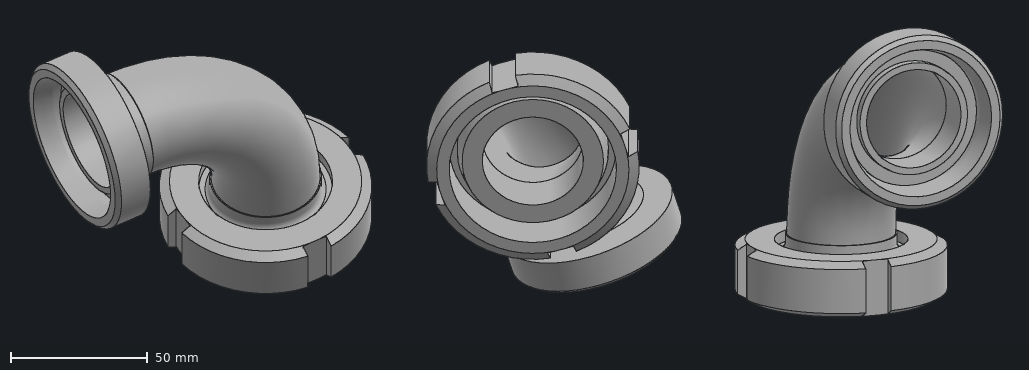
import cadquery as cq

pipe_diameter = 40.0
bore_diameter = 37.0
bend_radius = 60.0

collar_diameter = 41.0
neck_diameter = 44.4
neck_fillet_length = 2.8
neck_arc_bulge = 0.36

thread_end_length = 22.5
thread_end_diameter = 65.4
thread_end_chamfer = 1.7
thread_end_rim_length = 14.0
thread_end_neck_start = 15.8
thread_end_collar_start = 18.8
seat_mouth_diameter = 55.4
seat_floor_diameter = 51.7
seat_depth = 7.3
gasket_groove_inner_diameter = 42.0
gasket_groove_depth = 3.5

nut_diameter = 77.9
nut_height = 21.0
nut_chamfer_height = 2.2
nut_chamfer_width = 3.8
nut_mouth_diameter = 49.0
nut_thread_diameter = 61.2
nut_lip_thickness = 4.2
slot_count = 4
slot_width = 9.9
slot_floor_distance = 35.1

liner_top = 23.3
liner_shoulder_top = nut_height - nut_lip_thickness
liner_rim_height = 3.0
liner_face_height = liner_shoulder_top - liner_rim_height - seat_depth

outlet_height = liner_top + bend_radius
face_y = -(bend_radius + thread_end_length)


def neck_arc_middle(neck_height, collar_height):
    """Point halfway round the concave neck fillet, as (radius, height)."""
    neck_radius = neck_diameter / 2
    collar_radius = collar_diameter / 2
    radius = collar_radius + neck_arc_bulge * (neck_radius - collar_radius)
    height = neck_height + neck_arc_bulge * (collar_height - neck_height)
    return radius, height


def make_elbow():
    """Quarter-circle tube from the top of the liner to the threaded end."""
    ring = (
        cq.Workplane("XY")
        .workplane(offset=liner_top)
        .circle(pipe_diameter / 2)
        .circle(bore_diameter / 2)
    )
    return ring.revolve(90, (0, -bend_radius, 0), (1, -bend_radius, 0))


def make_threaded_end():
    """Flanged end with a tapered seat and a gasket groove, revolved about Z and then laid along Y."""
    rim_radius = thread_end_diameter / 2
    groove_floor = seat_depth + gasket_groove_depth
    body = (
        cq.Workplane("XZ")
        .moveTo(bore_diameter / 2, seat_depth)
        .lineTo(gasket_groove_inner_diameter / 2, seat_depth)
        .lineTo(gasket_groove_inner_diameter / 2, groove_floor)
        .lineTo(seat_floor_diameter / 2, groove_floor)
        .lineTo(seat_floor_diameter / 2, seat_depth)
        .lineTo(seat_mouth_diameter / 2, 0)
        .lineTo(rim_radius - thread_end_chamfer, 0)
        .lineTo(rim_radius, thread_end_chamfer)
        .lineTo(rim_radius, thread_end_rim_length)
        .lineTo(neck_diameter / 2, thread_end_neck_start)
        .threePointArc(
            neck_arc_middle(thread_end_neck_start, thread_end_collar_start),
            (collar_diameter / 2, thread_end_collar_start),
        )
        .lineTo(collar_diameter / 2, thread_end_length)
        .lineTo(bore_diameter / 2, thread_end_length)
        .close()
        .revolve(360, (0, 0, 0), (0, 1, 0))
    )
    laid_down = body.rotate((0, 0, 0), (1, 0, 0), -90)
    return laid_down.translate((0, face_y, outlet_height))


def make_liner():
    """Tapered liner whose shoulder bears against the underside of the nut lip."""
    fillet_top = liner_shoulder_top + neck_fillet_length
    return (
        cq.Workplane("XZ")
        .moveTo(bore_diameter / 2, liner_face_height)
        .lineTo(seat_floor_diameter / 2, liner_face_height)
        .lineTo(seat_mouth_diameter / 2, liner_face_height + seat_depth)
        .lineTo(seat_mouth_diameter / 2, liner_shoulder_top)
        .lineTo(neck_diameter / 2, liner_shoulder_top)
        .threePointArc(
            neck_arc_middle(liner_shoulder_top, fillet_top),
            (collar_diameter / 2, fillet_top),
        )
        .lineTo(collar_diameter / 2, liner_top)
        .lineTo(bore_diameter / 2, liner_top)
        .close()
        .revolve(360, (0, 0, 0), (0, 1, 0))
    )


def make_nut():
    """Chamfered ring nut with spanner slots round its outside."""
    radius = nut_diameter / 2
    lip_underside = nut_height - nut_lip_thickness
    nut = (
        cq.Workplane("XZ")
        .moveTo(nut_thread_diameter / 2, 0)
        .lineTo(radius - nut_chamfer_width, 0)
        .lineTo(radius, nut_chamfer_height)
        .lineTo(radius, nut_height - nut_chamfer_height)
        .lineTo(radius - nut_chamfer_width, nut_height)
        .lineTo(nut_mouth_diameter / 2, nut_height)
        .lineTo(nut_mouth_diameter / 2, lip_underside)
        .lineTo(nut_thread_diameter / 2, lip_underside)
        .close()
        .revolve(360, (0, 0, 0), (0, 1, 0))
    )
    slot_length = radius - slot_floor_distance
    slot = (
        cq.Workplane("XY")
        .box(slot_length, slot_width, nut_height, centered=(False, True, False))
        .translate((slot_floor_distance, 0, 0))
    )
    for index in range(slot_count):
        nut = nut.cut(slot.rotate((0, 0, 0), (0, 0, 1), index * 360 / slot_count))
    return nut


elbow = make_elbow()
threaded_end = make_threaded_end()
liner = make_liner()
nut = make_nut()

result = cq.Compound.makeCompound([elbow.val(), threaded_end.val(), liner.val(), nut.val()])